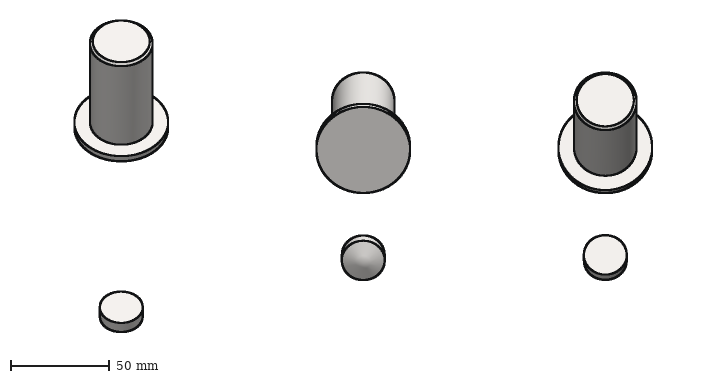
import cadquery as cq

overall_height = 209.3

pin_diameter = 32.0
pin_chamfer = 1.5
flange_diameter = 48.0
flange_thickness = 4.0
pin_height = 64.0

plug_diameter = 22.0
plug_rim_height = 7.0
plug_tip_height = 4.0


def make_headed_pin():
    """Round pin with a chamfered top, standing on a flange."""
    flange_bottom = overall_height - pin_height
    flange = (
        cq.Workplane("XY", origin=(0, 0, flange_bottom))
        .circle(flange_diameter / 2)
        .extrude(flange_thickness)
    )
    shank = (
        cq.Workplane("XY", origin=(0, 0, flange_bottom + flange_thickness))
        .circle(pin_diameter / 2)
        .extrude(pin_height - flange_thickness)
        .faces(">Z")
        .chamfer(pin_chamfer)
    )
    return flange.union(shank)


def make_plug():
    """Short cylinder with a conical underside, its tip at the origin."""
    plug_radius = plug_diameter / 2
    plug_height = plug_tip_height + plug_rim_height
    return (
        cq.Workplane("XZ")
        .moveTo(0, 0)
        .lineTo(plug_radius, plug_tip_height)
        .lineTo(plug_radius, plug_height)
        .lineTo(0, plug_height)
        .close()
        .revolve(360, (0, 0, 0), (0, 1, 0))
    )


headed_pin = make_headed_pin()
plug = make_plug()

result = cq.Compound.makeCompound([headed_pin.val(), plug.val()])